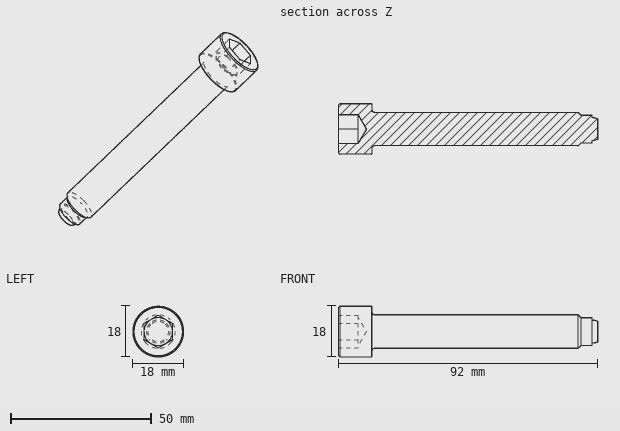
import cadquery as cq
import math

total_length = 92.0
head_diameter = 18.0
head_length = 12.0
head_front_chamfer = 0.5
head_rear_chamfer = 0.3
shank_diameter = 12.0
neck_fillet = 0.8
tip_length = 2.0
ball_diameter = 8.3
collar_length = 4.0
collar_diameter = 9.9
shank_end_chamfer = (shank_diameter - collar_diameter) / 2

socket_width = 10.0
socket_depth = 7.0
socket_cone_angle = 120.0

head_radius = head_diameter / 2
shank_radius = shank_diameter / 2
collar_radius = collar_diameter / 2
ball_radius = ball_diameter / 2
tip_flat_radius = math.sqrt(ball_radius**2 - tip_length**2)
collar_end = total_length - tip_length
shank_end = collar_end - collar_length


def make_body():
    """Revolve the outer half profile about the X axis."""
    neck_inset = neck_fillet * (1 - math.sqrt(0.5))
    ball_arc_length = tip_length / 2
    ball_arc_radius = math.sqrt(ball_radius**2 - ball_arc_length**2)
    return (
        cq.Workplane("XY")
        .lineTo(0, head_radius - head_front_chamfer)
        .lineTo(head_front_chamfer, head_radius)
        .lineTo(head_length - head_rear_chamfer, head_radius)
        .lineTo(head_length, head_radius - head_rear_chamfer)
        .lineTo(head_length, shank_radius + neck_fillet)
        .threePointArc(
            (head_length + neck_inset, shank_radius + neck_inset),
            (head_length + neck_fillet, shank_radius),
        )
        .lineTo(shank_end - shank_end_chamfer, shank_radius)
        .lineTo(shank_end, collar_radius)
        .lineTo(collar_end, collar_radius)
        .lineTo(collar_end, ball_radius)
        .threePointArc(
            (collar_end + ball_arc_length, ball_arc_radius),
            (total_length, tip_flat_radius),
        )
        .lineTo(total_length, 0)
        .close()
        .revolve(360, (0, 0, 0), (1, 0, 0))
    )


def make_socket():
    """Hexagonal hole with flats facing +/-Y, plus its conical bottom."""
    corner_diameter = socket_width / math.cos(math.radians(30))
    cone_radius = socket_width / 2
    cone_depth = cone_radius / math.tan(math.radians(socket_cone_angle / 2))
    hexagon = (
        cq.Workplane("YZ")
        .transformed(rotate=(0, 0, 90))
        .polygon(6, corner_diameter)
        .extrude(socket_depth)
    )
    cone = (
        cq.Workplane("XY")
        .moveTo(socket_depth, 0)
        .lineTo(socket_depth, cone_radius)
        .lineTo(socket_depth + cone_depth, 0)
        .close()
        .revolve(360, (0, 0, 0), (1, 0, 0))
    )
    return hexagon.union(cone)


result = make_body().cut(make_socket())